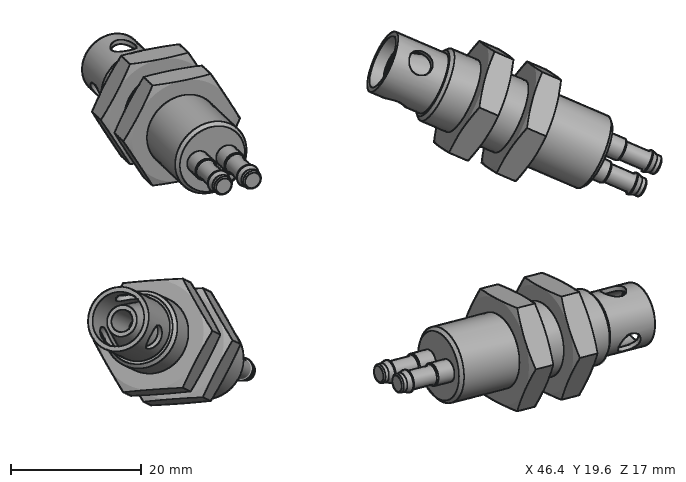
import cadquery as cq
import math

total_length = 46.4
shoulder_x = 8.7
body_end_x = 36.95

body_diameter = 12.0
body_chamfer = 0.55

sleeve_diameter = 10.0
sleeve_bore_diameter = 8.5
vent_diameter = 4.0
vent_x = 4.3
vent_count = 3

nozzle_tip_x = 1.5
nozzle_tip_diameter = 4.9
nozzle_hole_diameter = 3.5

nut_across_flats = 17.0
nut_width = 4.0
nut_starts = (13.8, 22.05)
nut_face_diameter = nut_across_flats
nut_chamfer_angle = 15.0

connector_spacing = 4.85
connector_diameter = 3.6
neck_diameter = 3.0
collar_end_x = 39.9
collar_chamfer_length = 0.25
collar_chamfer_height = 0.15
barb_start_x = 44.45
barb_fillet = 0.15
barb_ridge_width = 0.2
barb_taper_length = 0.9
tip_chamfer = 0.25


def cylinder(diameter, start, end):
    """Solid cylinder on the X axis."""
    return cq.Workplane("YZ", origin=(start, 0, 0)).circle(diameter / 2).extrude(end - start)


def revolve_about_x(profile):
    """Turn a closed XY profile about the X axis."""
    return profile.close().revolve(360, (0, 0, 0), (1, 0, 0))


def make_body():
    return cylinder(body_diameter, shoulder_x, body_end_x).faces("<X or >X").chamfer(body_chamfer)


def make_sleeve():
    sleeve = cylinder(sleeve_diameter, 0, shoulder_x)
    sleeve = sleeve.cut(cylinder(sleeve_bore_diameter, 0, shoulder_x))
    vent = cq.Workplane("XY").center(vent_x, 0).circle(vent_diameter / 2).extrude(sleeve_diameter)
    for index in range(vent_count):
        angle = index * 360 / vent_count
        sleeve = sleeve.cut(vent.rotate((0, 0, 0), (1, 0, 0), angle))
    return sleeve


def make_nozzle():
    """Cone widening to the sleeve bore, with a blind hole in its tip."""
    cone = revolve_about_x(
        cq.Workplane("XY")
        .moveTo(nozzle_tip_x, 0)
        .lineTo(nozzle_tip_x, nozzle_tip_diameter / 2)
        .lineTo(shoulder_x, sleeve_bore_diameter / 2)
        .lineTo(shoulder_x, 0)
    )
    return cone.cut(cylinder(nozzle_hole_diameter, nozzle_tip_x, shoulder_x))


def make_nut(start):
    """Hexagon with its corners on the Y axis, chamfered conically on both faces."""
    corner_diameter = nut_across_flats / math.cos(math.radians(30))
    end = start + nut_width
    hexagon = cq.Workplane("YZ", origin=(start, 0, 0)).polygon(6, corner_diameter).extrude(nut_width)
    face_radius = nut_face_diameter / 2
    outer_radius = corner_diameter / 2
    drop = (outer_radius - face_radius) * math.tan(math.radians(nut_chamfer_angle))
    envelope = revolve_about_x(
        cq.Workplane("XY")
        .moveTo(start, 0)
        .lineTo(start, face_radius)
        .lineTo(start + drop, outer_radius)
        .lineTo(end - drop, outer_radius)
        .lineTo(end, face_radius)
        .lineTo(end, 0)
    )
    return hexagon.intersect(envelope)


def make_connector():
    """Stepped hose connector with a barb, on the X axis."""
    collar_radius = connector_diameter / 2
    neck_radius = neck_diameter / 2
    fillet_start_x = collar_end_x + collar_chamfer_length
    neck_fillet = collar_radius - collar_chamfer_height - neck_radius
    barb_end_x = barb_start_x + barb_ridge_width + barb_taper_length
    return revolve_about_x(
        cq.Workplane("XY")
        .moveTo(body_end_x, 0)
        .lineTo(body_end_x, collar_radius)
        .lineTo(collar_end_x, collar_radius)
        .lineTo(fillet_start_x, collar_radius - collar_chamfer_height)
        .radiusArc((fillet_start_x + neck_fillet, neck_radius), -neck_fillet)
        .lineTo(barb_start_x - barb_fillet, neck_radius)
        .radiusArc((barb_start_x, neck_radius + barb_fillet), -barb_fillet)
        .lineTo(barb_start_x, collar_radius)
        .lineTo(barb_start_x + barb_ridge_width, collar_radius)
        .lineTo(barb_end_x, neck_radius)
        .lineTo(total_length - tip_chamfer, neck_radius)
        .lineTo(total_length, neck_radius - tip_chamfer)
        .lineTo(total_length, 0)
    )


result = make_body().union(make_sleeve()).union(make_nozzle())
for nut_start in nut_starts:
    result = result.union(make_nut(nut_start))
for side in (-1, 1):
    result = result.union(make_connector().translate((0, side * connector_spacing / 2, 0)))